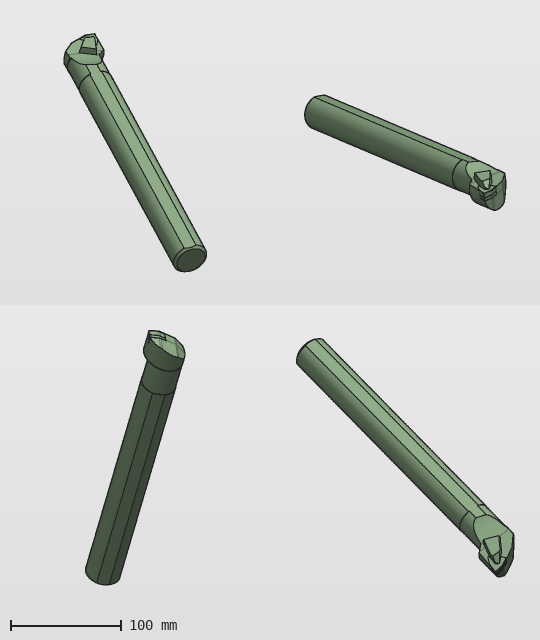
import cadquery as cq
import math

LENGTH = 300
SHANK_START = 60
SHANK_RADIUS = 16.05
FLAT_HEIGHT = 15
END_CHAMFER = 2.5
NECK_RADIUS = 15.75

HEAD_RADIUS = 19.0
HEAD_OFFSET_Y = 3
HEAD_END = 30.3

RAKE_RISE_X = 0.1
RAKE_FALL_Y = 0.18
RAKE_HEIGHT = 4.8
RUNOUT_START = 25.2
RUNOUT_RADIUS = 60
RUNOUT_ANGLE = 40

INSERT_THICKNESS = 4.8
INSCRIBED_RADIUS = 6.3
CORNER_ANGLE = 80
NOSE_RADIUS = 0.75
TIP_Y = 22.5
TIP_DIRECTION = 135
SEAT_DEPTH = 7.8
SHIM_INSET = 0.3

WALL_BEND = (0, 13.2)
WALL_KNEE = (9, -4.2)
WALL_END = (34.5, -28.2)
WALL_FILLET = 4.5
WALL_RELIEF = 2

CLAMP_OUTLINE = [(4.0, 14.5), (6, 17.5), (15, 16.8), (31.0, 12), (24, -2.7), (12, 5.5)]
CLAMP_HEIGHT = 6
CLAMP_TAPER = 9
CLAMP_NOSE_X = CLAMP_OUTLINE[0][0]
CLAMP_NOSE_RUN = 7.2

REACH = 45

RAKE_PLANE = cq.Plane(
    origin=(0, 0, RAKE_HEIGHT),
    xDir=(1 + RAKE_FALL_Y**2, RAKE_RISE_X * RAKE_FALL_Y, RAKE_RISE_X),
    normal=(-RAKE_RISE_X, RAKE_FALL_Y, 1),
)

CROSS_PLANE = cq.Plane(
    origin=RAKE_PLANE.origin,
    xDir=RAKE_PLANE.xDir,
    normal=-RAKE_PLANE.yDir,
)


def rod(radius, start, end, offset_y=0):
    """Cylinder along X."""
    plane = cq.Plane(origin=(start, offset_y, 0), xDir=(0, -1, 0), normal=(1, 0, 0))
    return cq.Workplane(plane).circle(radius).extrude(end - start)


def below_depth(depth):
    """Workplane parallel to the rake plane and below it."""
    return cq.Workplane(RAKE_PLANE).workplane(offset=-depth)


def make_shank():
    """Rear of the bar, with a flat above and below and a chamfered end."""
    shank = rod(SHANK_RADIUS, SHANK_START, LENGTH).faces(">X").chamfer(END_CHAMFER)
    between_flats = cq.Workplane("XY").box(3 * LENGTH, 2 * REACH, 2 * FLAT_HEIGHT)
    return shank.intersect(between_flats)


def make_neck():
    """Front of the bar, which continues the upper flat only."""
    below_flat = cq.Workplane("XY").box(3 * LENGTH, 2 * REACH, 2 * REACH)
    below_flat = below_flat.translate((0, 0, FLAT_HEIGHT - REACH))
    return rod(NECK_RADIUS, 0, SHANK_START).intersect(below_flat)


def make_head():
    """Eccentric cylinder, coned down to the neck around the axis of the bar."""
    outer_radius = HEAD_RADIUS + HEAD_OFFSET_Y
    cone_length = outer_radius - NECK_RADIUS
    cone = (
        cq.Workplane("XY")
        .lineTo(HEAD_END, 0)
        .lineTo(HEAD_END, NECK_RADIUS)
        .lineTo(HEAD_END - cone_length, outer_radius)
        .lineTo(0, outer_radius)
        .close()
        .revolve(360, (0, 0, 0), (1, 0, 0))
    )
    return rod(HEAD_RADIUS, 0, HEAD_END, HEAD_OFFSET_Y).intersect(cone)


def make_wall_limits():
    """Space inside the head walls: square to the rake plane, then relieved below the seat."""
    far_x = LENGTH + REACH
    corners = [
        (WALL_BEND[0], REACH),
        WALL_BEND,
        WALL_KNEE,
        WALL_END,
        (far_x, WALL_END[1]),
        (far_x, REACH),
    ]
    outline = cq.Sketch().polygon(corners + corners[:1]).vertices().fillet(WALL_FILLET)
    upper = below_depth(SEAT_DEPTH).placeSketch(outline).extrude(SEAT_DEPTH + REACH)
    lower = below_depth(SEAT_DEPTH).placeSketch(outline).extrude(-REACH, taper=WALL_RELIEF)
    return upper.union(lower)


def runout_point(degrees):
    """Point on the runout arc, which leaves the rake plane tangentially."""
    angle = math.radians(degrees)
    x = RUNOUT_START + RUNOUT_RADIUS * math.sin(angle)
    return (x, RUNOUT_RADIUS * (1 - math.cos(angle)))


def make_rake_cut():
    """Everything above the rake plane, ending in the arc that runs out through the neck."""
    arc_end = runout_point(RUNOUT_ANGLE)
    return (
        cq.Workplane(CROSS_PLANE)
        .moveTo(-REACH, 0)
        .lineTo(RUNOUT_START, 0)
        .threePointArc(runout_point(RUNOUT_ANGLE / 2), arc_end)
        .lineTo(arc_end[0], REACH)
        .lineTo(-REACH, REACH)
        .close()
        .extrude(REACH, both=True)
    )


def trigon(inset, top_depth, bottom_depth):
    """Trigon prism between two depths below the rake plane, with its sides moved in by the inset."""
    half_corner = CORNER_ANGLE / 2
    side_tilt = half_corner - 30
    tip_distance = INSCRIBED_RADIUS / math.sin(math.radians(half_corner))
    centre_x = -tip_distance * math.cos(math.radians(TIP_DIRECTION))
    centre_y = TIP_Y - tip_distance * math.sin(math.radians(TIP_DIRECTION))

    side_distance = INSCRIBED_RADIUS - inset
    corner_distance = side_distance / math.sin(math.radians(half_corner))
    bend_distance = side_distance / math.cos(math.radians(side_tilt))
    points = []
    for index in range(6):
        distance = corner_distance if index % 2 == 0 else bend_distance
        angle = math.radians(TIP_DIRECTION + 60 * index)
        points.append((centre_x + distance * math.cos(angle), centre_y + distance * math.sin(angle)))

    prism = below_depth(bottom_depth).polyline(points).close().extrude(bottom_depth - top_depth)
    upright_edges = cq.selectors.ParallelDirSelector(RAKE_PLANE.zDir)
    return prism.edges(upright_edges).fillet(NOSE_RADIUS)


def make_clamp():
    """Tapered block on the rake plane, cut to a slope at its nose."""
    block = (
        cq.Workplane(RAKE_PLANE)
        .polyline(CLAMP_OUTLINE)
        .close()
        .extrude(CLAMP_HEIGHT, taper=CLAMP_TAPER)
    )
    nose_cut = (
        cq.Workplane(CROSS_PLANE)
        .moveTo(CLAMP_NOSE_X, 0)
        .lineTo(CLAMP_NOSE_X + CLAMP_NOSE_RUN, CLAMP_HEIGHT)
        .lineTo(CLAMP_NOSE_X, CLAMP_HEIGHT)
        .close()
        .extrude(REACH, both=True)
    )
    return block.cut(nose_cut)


def make_holder():
    """Bar and head in one piece, with the insert pocket, the shim and the clamp."""
    bar = make_neck().union(make_head()).union(make_shank())
    cut_head = bar.intersect(make_wall_limits()).cut(make_rake_cut())
    pocketed = cut_head.cut(trigon(0, 0, SEAT_DEPTH))
    shim = trigon(SHIM_INSET, INSERT_THICKNESS, SEAT_DEPTH)
    return pocketed.union(shim).union(make_clamp())


def make_insert():
    """Indexable insert, flush with the rake plane."""
    return trigon(0, 0, INSERT_THICKNESS)


holder = make_holder()
insert = make_insert()

result = cq.Compound.makeCompound([holder.solids().val(), insert.solids().val()])